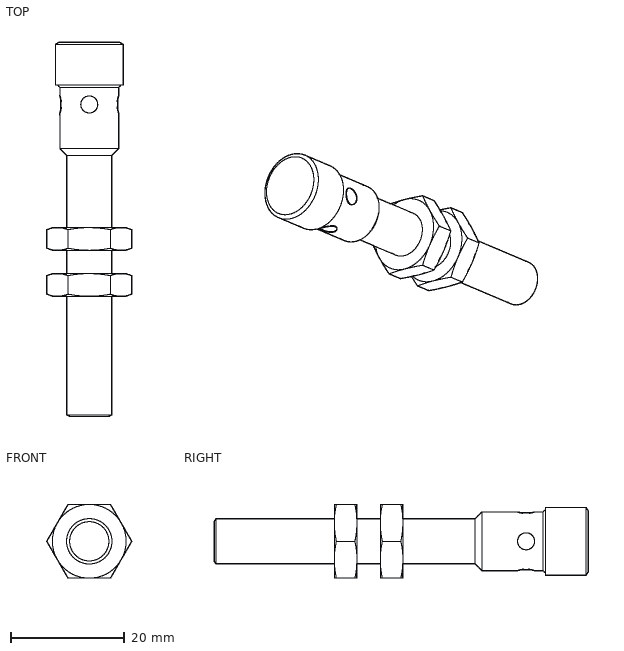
import cadquery as cq
import math

total_length = 66.0
end_chamfer_angle = math.radians(30)

shaft_diameter = 8.0
shaft_length = 46.0
tip_face_diameter = 6.92
tip_chamfer_length = (shaft_diameter - tip_face_diameter) / 2 * math.tan(end_chamfer_angle)

body_diameter = 10.4
shoulder_length = (body_diameter - shaft_diameter) / 2

head_diameter = 12.0
head_length = 7.6
head_face_diameter = 10.6
head_chamfer_length = (head_diameter - head_face_diameter) / 2 * math.tan(end_chamfer_angle)
collar_length = 0.4
collar_diameter = 11.2

window_count = 4
window_diameter = 3.0
window_floor_radius = 5.05
window_y = total_length - 11.0

nut_across_flats = 13.0
nut_across_corners = nut_across_flats / math.cos(math.pi / 6)
nut_thickness = 4.0
nut_chamfer_angle = math.radians(20)
nut_face_diameter = nut_across_flats
nut_spacing = 8.1
first_nut_y = 21.2
nut_count = 2


def revolve_about_y(profile):
    """Turn a closed profile, drawn as radius (X) against Y, a full turn about the Y axis."""
    return profile.close().revolve(360, (0, 0, 0), (0, 1, 0))


def make_barrel():
    shaft_radius = shaft_diameter / 2
    body_radius = body_diameter / 2
    head_radius = head_diameter / 2
    head_start = total_length - head_length

    barrel = revolve_about_y(
        cq.Workplane("XY")
        .moveTo(0, 0)
        .lineTo(tip_face_diameter / 2, 0)
        .lineTo(shaft_radius, tip_chamfer_length)
        .lineTo(shaft_radius, shaft_length)
        .lineTo(body_radius, shaft_length + shoulder_length)
        .lineTo(body_radius, head_start - collar_length)
        .lineTo(collar_diameter / 2, head_start)
        .lineTo(head_radius, head_start)
        .lineTo(head_radius, total_length - head_chamfer_length)
        .lineTo(head_face_diameter / 2, total_length)
        .lineTo(0, total_length)
    )
    return barrel.cut(make_window_recesses())


def make_window_recesses():
    """Shallow round recesses whose floors follow a cylinder just under the body surface."""
    recesses = cq.Workplane("XY")
    for index in range(window_count):
        recess = (
            cq.Workplane("XY")
            .center(0, window_y)
            .circle(window_diameter / 2)
            .extrude(body_diameter)
            .rotate((0, 0, 0), (0, 1, 0), index * 360 / window_count)
        )
        recesses = recesses.add(recess)
    floor_core = cq.Workplane("XZ").circle(window_floor_radius).extrude(-total_length)
    return recesses.combine().cut(floor_core)


def make_nut(start_y):
    """Hexagon nut with corners on the X axis and both faces chamfered, bored to fit the shaft."""
    face_radius = nut_face_diameter / 2
    corner_radius = nut_across_corners / 2
    chamfer_length = (corner_radius - face_radius) * math.tan(nut_chamfer_angle)

    hexagon = cq.Workplane("XZ").polygon(6, nut_across_corners).extrude(-nut_thickness)
    chamfered_blank = revolve_about_y(
        cq.Workplane("XY")
        .moveTo(shaft_diameter / 2, 0)
        .lineTo(face_radius, 0)
        .lineTo(corner_radius, chamfer_length)
        .lineTo(corner_radius, nut_thickness - chamfer_length)
        .lineTo(face_radius, nut_thickness)
        .lineTo(shaft_diameter / 2, nut_thickness)
    )
    return hexagon.intersect(chamfered_blank).translate((0, start_y, 0))


barrel = make_barrel()
nuts = [make_nut(first_nut_y + index * nut_spacing) for index in range(nut_count)]

result = cq.Compound.makeCompound([barrel.val(), *[nut.val() for nut in nuts]])